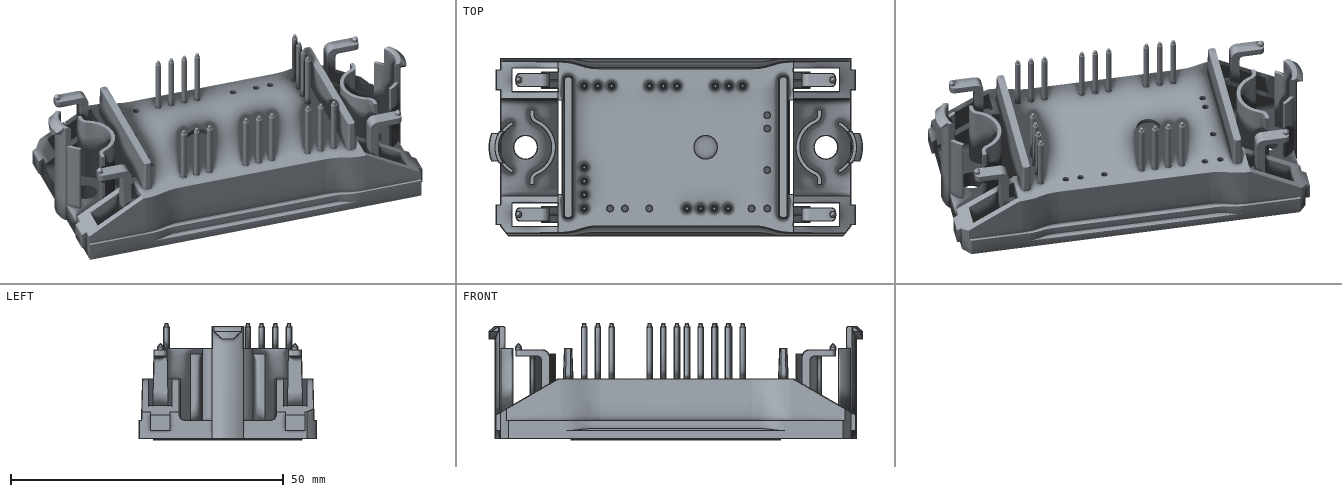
import cadquery as cq
import math

CUT_MARGIN = 0.7

HALF_LENGTH = 64.1 / 2
HALF_WIDTH = 32.5 / 2
PAD_LENGTH = 38.3
PAD_WIDTH = 27.2
PLATE_BOTTOM = 0.24
PLATE_TOP = 3.55
CORNER_X = 1.45
CORNER_Y = 1.8

BODY_TOP = 11.15
WING_HALF_WIDTH = 15.8
WAIST_HALF_WIDTH = 14.6
S_START_X = 21.1
S_END_X = 14.0
BODY_DRAFT = 1.5
SLOPE_START_X = 21.55
SLOPE_ANGLE = 30.0
TAB_X = 32.9
TAB_BOTTOM = 1.7
TAB_INNER_Y = 10.5
TAB_OUTER_Y = 14.15

GROOVE_HALF_LENGTH = 19.9
GROOVE_BOTTOM = 1.7
GROOVE_BACK_Z = 2.05
GROOVE_DEPTH = 0.6
GROOVE_FULL_X = 15.3

DECK_HALF_WIDTH = 8.9
DECK_FILLET = 1.15
END_WALL_TOP_X = 20.6
END_WALL_BOTTOM_X = 20.85
SLOT_HALF_LENGTH = 8.6
WINDOW_OUTER_X = 29.95
WINDOW_INNER_Y = 10.2
WINDOW_OUTER_Y = 14.5
SCREW_X = 27.5
SCREW_DIAMETER = 4.3

RIDGE_X = 19.7
RIDGE_THICKNESS = 1.8
RIDGE_LENGTH = 26.1
RIDGE_TOP = 16.75
RIDGE_DRAFT = 2.2
RIDGE_CORNER = 0.4

CLIP_INNER_R = 4.7
HOOK_OUTER_R = 5.6
HOOK_NOSE_R = 6.7
HOOK_HALF_WIDTH = 2.9
HOOK_TOP = 20.8
HOOK_NOSE_BOTTOM = 18.5
HOOK_NOSE_TOP = 19.85
HOOK_ROUND = 0.3
NOSE_TOP_HALF_WIDTH = 2.5
NOSE_BOTTOM_HALF_WIDTH = 1.0
SHELL_OUTER_R = 5.35
SHELL_TOP = 16.75
SHELL_HALF_ANGLE = 59.0
WAVE_TOP = 15.7
WAVE_R = 5.1
WAVE_THICKNESS = 0.7
WAVE_BEND_R = 1.4
WAVE_END_X = 1.15
WAVE_END_Y = 6.85

ARM_Y = 12.3
ARM_WIDTH = 2.4
ARM_TIP_X = 29.3
ARM_TOP = 16.5
ARM_BOTTOM = 15.3
LEG_OUTER_X = 24.6
LEG_INNER_X = 23.1
LEG_FOOT_WIDTH = 3.0
ARM_BEND = 1.4
ARM_INNER_BEND = 0.7
ARM_TIP_ROUND = 0.8
ROOT_TOP = 8.2
ROOT_SLIT = 0.3
PEG_X = 28.8
PEG_DIAMETER = 1.1
PEG_HEIGHT = 0.55
PEG_TIP_HEIGHT = 0.6

FOUR_PIN_SPAN = 7.5
PIN_PITCH = FOUR_PIN_SPAN / 3
PIN_DIAMETER = 1.0
PIN_NECK_DIAMETER = 0.75
PIN_TIP_DIAMETER = 0.55
PIN_SHOULDER = 20.65
PIN_TOP = 21.3
SOCKET_DIAMETER = 1.2
SOCKET_DEPTH = 1.0
ROW_X = 16.75
ROW_Y = 11.2
MIDDLE_GROUP_X = -4.8
RIGHT_GROUP_X = 7.25
FRONT_GROUP_X = 2.05
EMPTY_FRONT_X = (-12.05, -9.3, -4.85, 13.9, ROW_X)
EMPTY_SIDE_Y = (-4.2, 3.4, 5.9)
DIMPLE_X = 5.5
DIMPLE_DIAMETER = 4.3
DIMPLE_DEPTH = 0.8


def box(x0, x1, y0, y1, z0, z1):
    return cq.Workplane("XY").box(x1 - x0, y1 - y0, z1 - z0, centered=False).translate((x0, y0, z0))


def both_ends(shape):
    """The shape at one X end together with its mirror image at the other."""
    return shape.union(shape.mirror("YZ"))


def four_corners(shape):
    ends = both_ends(shape)
    return ends.union(ends.mirror("XZ"))


def cone(bottom_diameter, top_diameter, height, base_centre):
    solid = cq.Solid.makeCone(
        bottom_diameter / 2, top_diameter / 2, height, pnt=cq.Vector(*base_centre)
    )
    return cq.Workplane(solid)


def polar(radius, angle):
    return (radius * math.cos(angle), radius * math.sin(angle))


def s_curve(path, start, end):
    """Continue a path from start to end with two tangent arcs that leave and arrive along X."""
    mid = ((start[0] + end[0]) / 2, (start[1] + end[1]) / 2)
    bow = (start[1] - end[1]) / 8
    first = ((start[0] + mid[0]) / 2, (start[1] + mid[1]) / 2 + bow)
    second = ((end[0] + mid[0]) / 2, (end[1] + mid[1]) / 2 - bow)
    return path.threePointArc(first, mid).threePointArc(second, end)


def upper_body():
    """Waisted block whose long sides step in through S curves."""
    far = HALF_LENGTH + CUT_MARGIN
    path = cq.Workplane("XY").workplane(offset=PLATE_TOP).moveTo(-far, -WING_HALF_WIDTH)
    for side in (1, -1):
        wing_y = -side * WING_HALF_WIDTH
        waist_y = -side * WAIST_HALF_WIDTH
        path = path.lineTo(-side * S_START_X, wing_y)
        path = s_curve(path, (-side * S_START_X, wing_y), (-side * S_END_X, waist_y))
        path = path.lineTo(side * S_END_X, waist_y)
        path = s_curve(path, (side * S_END_X, waist_y), (side * S_START_X, wing_y))
        path = path.lineTo(side * far, wing_y)
        path = path.lineTo(side * far, -wing_y)
    block = path.close().extrude(BODY_TOP - PLATE_TOP, taper=BODY_DRAFT)
    return block.intersect(
        box(-HALF_LENGTH, HALF_LENGTH, -HALF_WIDTH, HALF_WIDTH, PLATE_TOP, BODY_TOP)
    )


def corner_cuts():
    cut = (
        cq.Workplane("XY")
        .moveTo(HALF_LENGTH, -HALF_WIDTH)
        .lineTo(HALF_LENGTH - CORNER_X, -HALF_WIDTH)
        .lineTo(HALF_LENGTH, -HALF_WIDTH + CORNER_Y)
        .close()
        .extrude(BODY_TOP)
    )
    return both_ends(cut)


def slope_cuts():
    far = TAB_X + CUT_MARGIN
    drop = (far - SLOPE_START_X) * math.tan(math.radians(SLOPE_ANGLE))
    cut = (
        cq.Workplane("XZ")
        .moveTo(SLOPE_START_X, BODY_TOP)
        .lineTo(far, BODY_TOP)
        .lineTo(far, BODY_TOP - drop)
        .close()
        .extrude(HALF_WIDTH, both=True)
    )
    return both_ends(cut)


def deck_cuts():
    """Open channel between the wings, rounded along the deck, and the slot at its inner end."""
    far = TAB_X + CUT_MARGIN
    channel = box(SLOPE_START_X, far, -DECK_HALF_WIDTH, DECK_HALF_WIDTH, PLATE_TOP, BODY_TOP)
    channel = channel.edges("|X and <Z").fillet(DECK_FILLET)
    slot = (
        cq.Workplane("XZ")
        .moveTo(END_WALL_TOP_X, BODY_TOP)
        .lineTo(SLOPE_START_X, BODY_TOP)
        .lineTo(SLOPE_START_X, 0)
        .lineTo(END_WALL_BOTTOM_X, 0)
        .close()
        .extrude(SLOT_HALF_LENGTH, both=True)
    )
    hole = cq.Workplane("XY").center(SCREW_X, 0).circle(SCREW_DIAMETER / 2).extrude(PLATE_TOP)
    return both_ends(channel.union(slot).union(hole))


def side_groove():
    """Groove on the -Y side that deepens through S curves, with a floor that rises inwards."""
    back_y = -HALF_WIDTH + GROOVE_DEPTH
    path = (
        cq.Workplane("XY")
        .workplane(offset=GROOVE_BOTTOM)
        .moveTo(-GROOVE_HALF_LENGTH, -HALF_WIDTH)
    )
    path = s_curve(path, (-GROOVE_HALF_LENGTH, -HALF_WIDTH), (-GROOVE_FULL_X, back_y))
    path = path.lineTo(GROOVE_FULL_X, back_y)
    path = s_curve(path, (GROOVE_FULL_X, back_y), (GROOVE_HALF_LENGTH, -HALF_WIDTH))
    groove = path.close().extrude(PLATE_TOP - GROOVE_BOTTOM)
    floor = (
        cq.Workplane("YZ")
        .moveTo(-HALF_WIDTH, GROOVE_BOTTOM)
        .lineTo(back_y, GROOVE_BOTTOM)
        .lineTo(back_y, GROOVE_BACK_Z)
        .close()
        .extrude(GROOVE_HALF_LENGTH, both=True)
    )
    return groove.cut(floor)


def housing():
    plate = box(-HALF_LENGTH, HALF_LENGTH, -HALF_WIDTH, HALF_WIDTH, PLATE_BOTTOM, PLATE_TOP)
    pad = box(-PAD_LENGTH / 2, PAD_LENGTH / 2, -PAD_WIDTH / 2, PAD_WIDTH / 2, 0, PLATE_BOTTOM)
    tab = box(WINDOW_OUTER_X, TAB_X, TAB_INNER_Y, TAB_OUTER_Y, TAB_BOTTOM, BODY_TOP)
    window = box(SLOPE_START_X, WINDOW_OUTER_X, WINDOW_INNER_Y, WINDOW_OUTER_Y, 0, BODY_TOP)
    groove = side_groove()
    body = plate.union(pad).union(upper_body()).union(four_corners(tab))
    body = body.cut(slope_cuts()).cut(corner_cuts()).cut(deck_cuts())
    body = body.cut(four_corners(window))
    return body.cut(groove).cut(groove.mirror("XZ"))


def ridge():
    """Drafted wall across the top with its four upright corners cut off."""
    outline = cq.Sketch().rect(RIDGE_THICKNESS, RIDGE_LENGTH).vertices().chamfer(RIDGE_CORNER)
    return (
        cq.Workplane("XY")
        .workplane(offset=BODY_TOP)
        .center(RIDGE_X, 0)
        .placeSketch(outline)
        .extrude(RIDGE_TOP - BODY_TOP, taper=RIDGE_DRAFT)
    )


def ring(profile):
    """Turn a closed (radius, height) profile around the screw axis."""
    return cq.Workplane("XZ").polyline(profile).close().revolve(360, (0, 0, 0), (0, 1, 0))


def hook():
    """Curved wall outside the screw hole that ends in an outward snap nose."""
    wall = ring([
        (CLIP_INNER_R, PLATE_BOTTOM),
        (HOOK_OUTER_R, PLATE_BOTTOM),
        (HOOK_OUTER_R, HOOK_TOP),
        (CLIP_INNER_R + HOOK_ROUND, HOOK_TOP),
        (CLIP_INNER_R, HOOK_TOP - HOOK_ROUND),
    ])
    wall = wall.intersect(box(0, HOOK_OUTER_R, -HOOK_HALF_WIDTH, HOOK_HALF_WIDTH, 0, HOOK_TOP))
    nose_root_r = (CLIP_INNER_R + HOOK_OUTER_R) / 2
    nose = ring([
        (nose_root_r, HOOK_NOSE_BOTTOM),
        (HOOK_NOSE_R, HOOK_NOSE_BOTTOM),
        (HOOK_NOSE_R, HOOK_NOSE_TOP),
        (HOOK_OUTER_R, HOOK_TOP),
        (nose_root_r, HOOK_TOP),
    ])
    nose_front = [
        (-NOSE_BOTTOM_HALF_WIDTH, HOOK_NOSE_BOTTOM),
        (NOSE_BOTTOM_HALF_WIDTH, HOOK_NOSE_BOTTOM),
        (NOSE_TOP_HALF_WIDTH, HOOK_NOSE_TOP),
        (NOSE_TOP_HALF_WIDTH, HOOK_TOP),
        (-NOSE_TOP_HALF_WIDTH, HOOK_TOP),
        (-NOSE_TOP_HALF_WIDTH, HOOK_NOSE_TOP),
    ]
    keep = cq.Workplane("YZ").polyline(nose_front).close().extrude(HOOK_NOSE_R)
    return wall.union(nose.intersect(keep))


def shell():
    """Lower curved wall with rounded ends that reaches further round the hole than the hook."""
    half = math.radians(SHELL_HALF_ANGLE)
    middle_r = (CLIP_INNER_R + SHELL_OUTER_R) / 2
    tip = half + (SHELL_OUTER_R - CLIP_INNER_R) / 2 / middle_r
    return (
        cq.Workplane("XY")
        .workplane(offset=PLATE_TOP)
        .moveTo(*polar(CLIP_INNER_R, -half))
        .threePointArc((CLIP_INNER_R, 0), polar(CLIP_INNER_R, half))
        .threePointArc(polar(middle_r, tip), polar(SHELL_OUTER_R, half))
        .threePointArc((SHELL_OUTER_R, 0), polar(SHELL_OUTER_R, -half))
        .threePointArc(polar(middle_r, -tip), polar(CLIP_INNER_R, -half))
        .close()
        .extrude(SHELL_TOP - PLATE_TOP)
    )


def wave():
    """Thin wall on the inner side of the hole: an arc whose ends bend back to straight tails."""
    bend_centre_r = WAVE_R + WAVE_BEND_R
    turn = math.acos((WAVE_END_X + WAVE_BEND_R) / bend_centre_r)
    centre_x, centre_y = polar(bend_centre_r, turn)
    half_bend = turn / 2

    def edge(offset):
        """Points of one face, from its join with the arc to the end of the tail."""
        bend_r = WAVE_BEND_R - offset
        middle = (centre_x - bend_r * math.cos(half_bend), centre_y - bend_r * math.sin(half_bend))
        return polar(WAVE_R + offset, turn), middle, (centre_x - bend_r, centre_y)

    def mirrored(point):
        return (point[0], -point[1])

    half_thick = WAVE_THICKNESS / 2
    out_join, out_mid, out_end = edge(half_thick)
    in_join, in_mid, in_end = edge(-half_thick)
    wall = (
        cq.Workplane("XY")
        .workplane(offset=PLATE_TOP)
        .moveTo(out_end[0], -WAVE_END_Y)
        .lineTo(*mirrored(out_end))
        .threePointArc(mirrored(out_mid), mirrored(out_join))
        .threePointArc((WAVE_R + half_thick, 0), out_join)
        .threePointArc(out_mid, out_end)
        .lineTo(out_end[0], WAVE_END_Y)
        .lineTo(in_end[0], WAVE_END_Y)
        .lineTo(*in_end)
        .threePointArc(in_mid, in_join)
        .threePointArc((WAVE_R - half_thick, 0), mirrored(in_join))
        .threePointArc(mirrored(in_mid), mirrored(in_end))
        .lineTo(in_end[0], -WAVE_END_Y)
        .close()
        .extrude(WAVE_TOP - PLATE_TOP)
    )
    return wall.mirror("YZ")


def clips():
    return hook().union(shell()).union(wave()).translate((SCREW_X, 0, 0))


def spring_arm():
    """Bent arm standing in a window, with a flared foot and a pointed peg on its free end."""
    arm = (
        cq.Workplane("XZ")
        .moveTo(ARM_TIP_X, ARM_BOTTOM)
        .lineTo(LEG_OUTER_X, ARM_BOTTOM)
        .lineTo(LEG_OUTER_X, PLATE_BOTTOM)
        .lineTo(SLOPE_START_X, PLATE_BOTTOM)
        .lineTo(SLOPE_START_X, ROOT_TOP)
        .lineTo(LEG_INNER_X, ROOT_TOP)
        .lineTo(LEG_INNER_X, ARM_TOP)
        .lineTo(ARM_TIP_X, ARM_TOP)
        .close()
        .extrude(LEG_FOOT_WIDTH / 2, both=True)
    )
    width_profile = [
        (-LEG_FOOT_WIDTH / 2, PLATE_BOTTOM),
        (LEG_FOOT_WIDTH / 2, PLATE_BOTTOM),
        (ARM_WIDTH / 2, ARM_TOP),
        (-ARM_WIDTH / 2, ARM_TOP),
    ]
    arm = arm.intersect(cq.Workplane("YZ").polyline(width_profile).close().extrude(ARM_TIP_X))
    arm = arm.faces(">X").edges("not |Y").fillet(ARM_TIP_ROUND)
    outer_corner = cq.selectors.NearestToPointSelector((LEG_INNER_X, 0, ARM_TOP))
    arm = arm.edges("|Y").edges(outer_corner).fillet(ARM_BEND)
    inner_corner = cq.selectors.NearestToPointSelector((LEG_OUTER_X, 0, ARM_BOTTOM))
    arm = arm.edges("|Y").edges(inner_corner).fillet(ARM_INNER_BEND)
    slit = box(SLOPE_START_X, LEG_INNER_X, -ROOT_SLIT / 2, ROOT_SLIT / 2, PLATE_TOP, ROOT_TOP)
    peg = (
        cq.Workplane("XY")
        .workplane(offset=ARM_TOP)
        .center(PEG_X, 0)
        .circle(PEG_DIAMETER / 2)
        .extrude(PEG_HEIGHT)
    )
    point = cone(PEG_DIAMETER, 0, PEG_TIP_HEIGHT, (PEG_X, 0, ARM_TOP + PEG_HEIGHT))
    return arm.cut(slit).union(peg).union(point).translate((0, ARM_Y, 0))


def row(start_x, y, count):
    return [(start_x + i * PIN_PITCH, y) for i in range(count)]


def column(x, start_y, count):
    return [(x, start_y + i * PIN_PITCH) for i in range(count)]


def pins(places):
    shafts = (
        cq.Workplane("XY")
        .workplane(offset=BODY_TOP - SOCKET_DEPTH)
        .pushPoints(places)
        .circle(PIN_DIAMETER / 2)
        .extrude(PIN_SHOULDER - BODY_TOP + SOCKET_DEPTH)
    )
    for x, y in places:
        tip = cone(PIN_NECK_DIAMETER, PIN_TIP_DIAMETER, PIN_TOP - PIN_SHOULDER, (x, y, PIN_SHOULDER))
        shafts = shafts.union(tip)
    return shafts


def blind_holes(places, diameter, depth):
    return (
        cq.Workplane("XY")
        .workplane(offset=BODY_TOP - depth)
        .pushPoints(places)
        .circle(diameter / 2)
        .extrude(depth)
    )


pin_places = (
    row(-ROW_X, ROW_Y, 3)
    + row(MIDDLE_GROUP_X, ROW_Y, 3)
    + row(RIGHT_GROUP_X, ROW_Y, 3)
    + column(-ROW_X, -ROW_Y, 4)
    + row(FRONT_GROUP_X, -ROW_Y, 4)
)
empty_places = [(x, -ROW_Y) for x in EMPTY_FRONT_X]
empty_places += [(ROW_X, y) for y in EMPTY_SIDE_Y]

result = housing()
result = result.cut(blind_holes(pin_places + empty_places, SOCKET_DIAMETER, SOCKET_DEPTH))
result = result.cut(blind_holes([(DIMPLE_X, 0)], DIMPLE_DIAMETER, DIMPLE_DEPTH))
result = result.union(both_ends(ridge()))
result = result.union(both_ends(clips()))
result = result.union(four_corners(spring_arm()))
result = result.union(pins(pin_places))